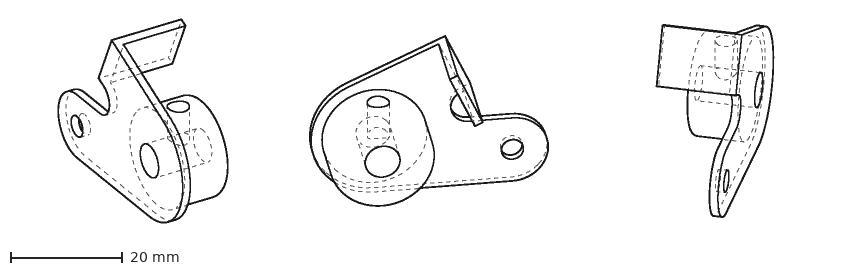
import cadquery as cq
import math

plate_thickness = 1.6
overall_length = 43.0
overall_depth = 14.6
overall_height = 30.0

big_radius = 11.48
small_radius = 6.5
pivot_x = -(overall_length - big_radius - small_radius)
pivot_z = small_radius - big_radius
pivot_hole_diameter = 4.0

edge_tilt = math.radians(24.4)
flange_length = 11.0
flange_thickness = plate_thickness
notch_radius = 3.22

hub_diameter = 19.0
hub_end = 11.1
hub_fillet = 1.0
bore_diameter = 6.3
set_screw_diameter = 4.0
set_screw_y = 6.0

along = (math.cos(edge_tilt), -math.sin(edge_tilt))
outward = (math.sin(edge_tilt), math.cos(edge_tilt))


def offset(point, direction, distance):
    return (point[0] + direction[0] * distance, point[1] + direction[1] * distance)


upper_tangent = offset((0, 0), outward, big_radius)
peak_z = overall_height - big_radius
peak = offset(upper_tangent, along, (peak_z - upper_tangent[1]) / along[1])
flange_foot = offset(peak, outward, -flange_length)

arm_top_z = pivot_z + small_radius
notch_z = arm_top_z + notch_radius
foot_level = flange_foot[0] * outward[0] + flange_foot[1] * outward[1]
notch_x = (foot_level - notch_radius - notch_z * outward[1]) / outward[0]
notch_start = offset((notch_x, notch_z), outward, notch_radius)
notch_middle_angle = -edge_tilt / 2
notch_middle = (
    notch_x + notch_radius * math.cos(notch_middle_angle),
    notch_z + notch_radius * math.sin(notch_middle_angle),
)


def extrude_back(sketch, depth):
    """Extrude an XZ sketch from the front face toward +Y."""
    return sketch.extrude(-depth)


def make_plate():
    outline = (
        cq.Workplane("XZ")
        .moveTo(0, -big_radius)
        .threePointArc((big_radius, 0), upper_tangent)
        .lineTo(*peak)
        .lineTo(*flange_foot)
        .lineTo(*notch_start)
        .threePointArc(notch_middle, (notch_x, arm_top_z))
        .lineTo(pivot_x, arm_top_z)
        .threePointArc((pivot_x - small_radius, pivot_z), (pivot_x, -big_radius))
        .close()
    )
    return extrude_back(outline, plate_thickness)


def make_flange():
    corners = [
        peak,
        flange_foot,
        offset(flange_foot, along, flange_thickness),
        offset(peak, along, flange_thickness),
    ]
    return extrude_back(cq.Workplane("XZ").polyline(corners).close(), overall_depth)


def make_hub():
    hub = extrude_back(cq.Workplane("XZ").circle(hub_diameter / 2), hub_end)
    return hub.faces(">Y").edges().fillet(hub_fillet)


bore = extrude_back(cq.Workplane("XZ").circle(bore_diameter / 2), hub_end)
pivot_hole = extrude_back(
    cq.Workplane("XZ").center(pivot_x, pivot_z).circle(pivot_hole_diameter / 2),
    plate_thickness,
)
set_screw_hole = (
    cq.Workplane("XY")
    .center(0, set_screw_y)
    .circle(set_screw_diameter / 2)
    .extrude(hub_diameter / 2)
)

result = (
    make_plate()
    .union(make_flange())
    .union(make_hub())
    .cut(bore)
    .cut(pivot_hole)
    .cut(set_screw_hole)
)